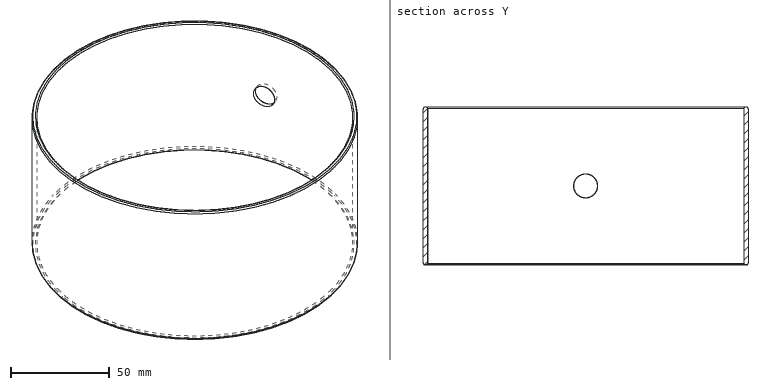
import cadquery as cq

outer_diameter = 165.0
wall_thickness = 2.5
height = 80.0

outer_chamfer_width = 0.45
outer_chamfer_height = 1.0
inner_chamfer = 0.7

hole_diameter = 12.0
hole_height = height / 2

outer_radius = outer_diameter / 2
inner_radius = outer_radius - wall_thickness


def make_ring():
    """Thin-walled ring standing on Z = 0, revolved from its chamfered wall section."""
    rim_outer_radius = outer_radius - outer_chamfer_width
    rim_inner_radius = inner_radius + inner_chamfer
    wall_section = [
        (inner_radius, inner_chamfer),
        (rim_inner_radius, 0),
        (rim_outer_radius, 0),
        (outer_radius, outer_chamfer_height),
        (outer_radius, height - outer_chamfer_height),
        (rim_outer_radius, height),
        (rim_inner_radius, height),
        (inner_radius, height - inner_chamfer),
    ]
    section = cq.Workplane("XZ").polyline(wall_section).close()
    return section.revolve(360, (0, 0, 0), (0, 1, 0))


def make_hole_cutter():
    """Cylinder from the ring axis outward along +Y, long enough to pass the wall."""
    hole_circle = cq.Workplane("XZ").center(0, hole_height).circle(hole_diameter / 2)
    return hole_circle.extrude(-outer_diameter)


result = make_ring().cut(make_hole_cutter())